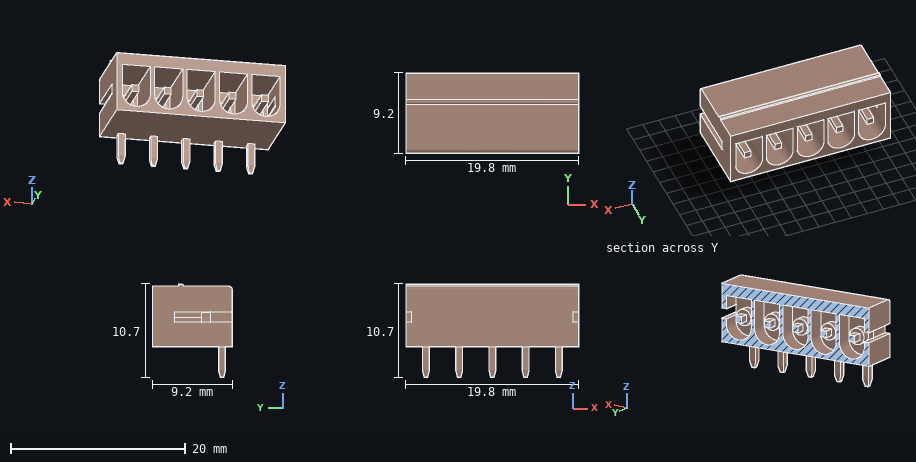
import cadquery as cq

HOUSING_LENGTH = 19.84
HOUSING_DEPTH = 9.2
HOUSING_HEIGHT = 7.0
FRONT_EDGE_RADIUS = 0.5
LEFT_X = -HOUSING_LENGTH / 2
FRONT_Y = -HOUSING_DEPTH / 2
BACK_Y = HOUSING_DEPTH / 2

RIB_HEIGHT = 0.2
RIB_WIDTH = 0.55
RIB_SETBACK = 3.03
RIB_BACK_Y = BACK_Y - RIB_SETBACK
RIB_EDGE_RADIUS = 0.19

POLES = 5
PITCH = 3.81
PIN_SIZE = 0.8
PIN_TIP_SIZE = 0.4
PIN_TIP_LENGTH = 0.8
PIN_DROP = 3.5
PIN_SETBACK = 1.2
PIN_Y = FRONT_Y + PIN_SETBACK
PIN_AXIS_Z = 3.0
PIN_END_INSET = 0.5
PIN_COLLAR_RADIUS = 0.97
PIN_COLLAR_LENGTH = 1.0
POLE_XS = [(i - (POLES - 1) / 2) * PITCH for i in range(POLES)]

SLOT_DEPTH = 0.65
SLOT_HEIGHT = 1.18
SLOT_LENGTH = 6.66
SLOT_BOTTOM_Z = 2.85

FRONT_WALL = 2.54
POCKET_END_Y = FRONT_Y + FRONT_WALL
POCKET_DEPTH = BACK_Y - POCKET_END_Y
POCKET_RADIUS = HOUSING_LENGTH / 2 - SLOT_DEPTH - POLE_XS[-1]
POCKET_FLOOR_Z = 0.6
POCKET_ARC_Z = POCKET_FLOOR_Z + POCKET_RADIUS
POCKET_TOP_Z = 5.6


def make_housing():
    body = cq.Workplane("XY").box(
        HOUSING_LENGTH, HOUSING_DEPTH, HOUSING_HEIGHT, centered=(True, True, False)
    )
    return body.faces("<Y").edges(">Z").fillet(FRONT_EDGE_RADIUS)


def make_rib():
    rib = cq.Workplane("XY").box(
        HOUSING_LENGTH, RIB_WIDTH, RIB_HEIGHT, centered=(True, False, False)
    )
    rib = rib.faces("<Y").edges(">Z").fillet(RIB_EDGE_RADIUS)
    return rib.translate((0, RIB_BACK_Y - RIB_WIDTH, HOUSING_HEIGHT))


def make_end_slot(start_x):
    slot = cq.Workplane("XY").box(SLOT_DEPTH, SLOT_LENGTH, SLOT_HEIGHT, centered=False)
    return slot.translate((start_x, FRONT_Y, SLOT_BOTTOM_Z))


def make_pocket(pole_x):
    """Pocket with a flat roof, upright sides and a half-round floor."""
    left = pole_x - POCKET_RADIUS
    right = pole_x + POCKET_RADIUS
    return (
        cq.Workplane("XZ", origin=(0, BACK_Y, 0))
        .moveTo(left, POCKET_ARC_Z)
        .lineTo(left, POCKET_TOP_Z)
        .lineTo(right, POCKET_TOP_Z)
        .lineTo(right, POCKET_ARC_Z)
        .threePointArc((pole_x, POCKET_FLOOR_Z), (left, POCKET_ARC_Z))
        .close()
        .extrude(POCKET_DEPTH)
    )


def make_collar(pole_x):
    """Round collar about the pin where it enters the pocket."""
    return (
        cq.Workplane("XZ", origin=(pole_x, POCKET_END_Y, PIN_AXIS_Z))
        .circle(PIN_COLLAR_RADIUS)
        .extrude(-PIN_COLLAR_LENGTH)
    )


def make_pin(pole_x):
    """Angled pin: a leg along Y in the pocket and a tapered leg below the housing."""
    contact_start_y = PIN_Y - PIN_SIZE / 2
    contact_length = BACK_Y - PIN_END_INSET - contact_start_y
    contact = cq.Workplane("XY").box(PIN_SIZE, contact_length, PIN_SIZE, centered=(True, False, True))
    contact = contact.translate((pole_x, contact_start_y, PIN_AXIS_Z))
    tip_start_z = PIN_TIP_LENGTH - PIN_DROP
    leg = (
        cq.Workplane("XY", origin=(pole_x, PIN_Y, tip_start_z))
        .rect(PIN_SIZE, PIN_SIZE)
        .extrude(PIN_AXIS_Z - tip_start_z)
    )
    tip = (
        cq.Workplane("XY", origin=(pole_x, PIN_Y, tip_start_z))
        .rect(PIN_SIZE, PIN_SIZE)
        .workplane(offset=-PIN_TIP_LENGTH)
        .rect(PIN_TIP_SIZE, PIN_TIP_SIZE)
        .loft()
    )
    return contact.union(leg).union(tip)


result = make_housing().union(make_rib())
for slot_x in (LEFT_X, -LEFT_X - SLOT_DEPTH):
    result = result.cut(make_end_slot(slot_x))
for x in POLE_XS:
    result = result.cut(make_pocket(x)).union(make_collar(x)).union(make_pin(x))